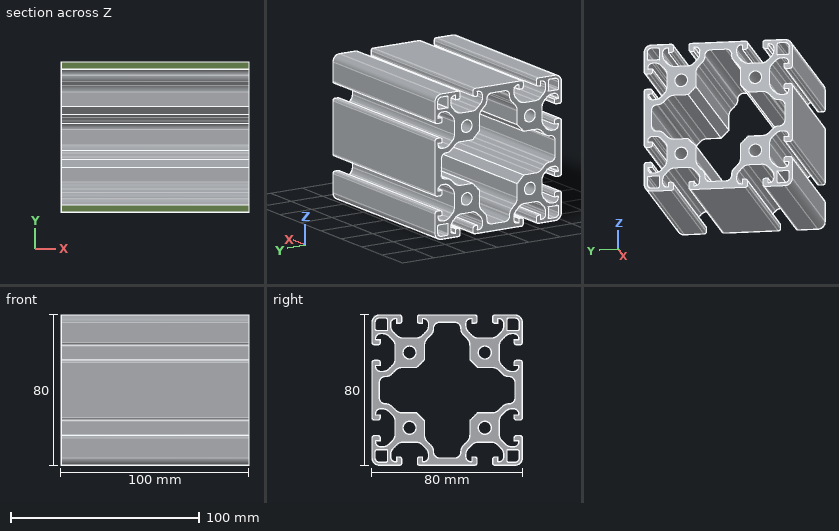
import cadquery as cq
import math

LENGTH = 100.0
SIZE = 80.0
CORNER_RADIUS = 4.0
HALF = SIZE / 2
SLOT_OFFSET = 20.0

SLOT_OPENING = 8.2
SLOT_WIDTH = 20.0
SLOT_DEPTH = 12.25
LIP_DEPTH = 4.5
LIP_WIDTH = 2.8
LIP_ROOF = 2.0
LIP_RADIUS = 1.3
SLOT_ROOF_RADIUS = 2.5
SLOT_WALL_RADIUS = 4.5
SLOT_FLOOR_RADIUS = 4.5
SLOT_FLOOR_HALF = 3.6

SKIN = 4.0
CAVITY_ARM_HALF = 7.2
CORE_EDGE = 12.0
CORE_CHAMFER = 4.2
CORE_CORNER_START = 26.0
CAVITY_ARM_RADIUS = 3.0
CAVITY_WALL_RADIUS = 4.5
CAVITY_CORE_RADIUS = 5.0

BORE_DIAMETER = 6.8
POCKET_WALL = 1.7
POCKET_SIZE = 6.5
POCKET_OUTER_RADIUS = CORNER_RADIUS - POCKET_WALL
POCKET_SIDE_RADIUS = 0.8

DIAGONAL = math.sqrt(0.5)
TANGENT_45 = math.tan(math.pi / 8)


def prism(sketch):
    """Extrude a closed outline along the whole profile."""
    return sketch.extrude(LENGTH)


def profile_plane():
    return cq.Workplane("YZ", origin=(-LENGTH / 2, 0, 0))


def quarter_turns(solid):
    """The solid together with its copies turned about the X axis in quarter turns."""
    turned = solid
    for angle in (90, 180, 270):
        turned = turned.union(solid.rotate((0, 0, 0), (1, 0, 0), angle))
    return turned


def turn_45(path, corner, before, after, radius):
    """Line up to a 45 degree corner and round it; before and after are unit directions of travel."""
    setback = radius * TANGENT_45
    start = (corner[0] - before[0] * setback, corner[1] - before[1] * setback)
    end = (corner[0] + after[0] * setback, corner[1] + after[1] * setback)
    return path.lineTo(*start).tangentArcPoint(end, relative=False)


def make_blank():
    return prism(profile_plane().rect(SIZE, SIZE)).edges("|X").fillet(CORNER_RADIUS)


def make_slot():
    """T-slot open towards +Z, centred on Y = SLOT_OFFSET."""
    half_opening = SLOT_OPENING / 2
    half_width = SLOT_WIDTH / 2
    lip_back = half_opening + LIP_WIDTH
    floor = HALF - SLOT_DEPTH
    roof = HALF - LIP_ROOF
    lip_tip = HALF - LIP_DEPTH
    floor_corner = SLOT_FLOOR_HALF + SLOT_FLOOR_RADIUS * TANGENT_45
    wall_corner = floor + half_width - floor_corner
    arc_offset = SLOT_ROOF_RADIUS * (1 - DIAGONAL)

    outline = profile_plane().moveTo(0, floor)
    outline = turn_45(outline, (floor_corner, floor), (1, 0), (DIAGONAL, DIAGONAL), SLOT_FLOOR_RADIUS)
    outline = turn_45(outline, (half_width, wall_corner), (DIAGONAL, DIAGONAL), (0, 1), SLOT_WALL_RADIUS)
    outline = (
        outline.lineTo(half_width, roof - SLOT_ROOF_RADIUS)
        .threePointArc(
            (half_width - arc_offset, roof - arc_offset),
            (half_width - SLOT_ROOF_RADIUS, roof),
        )
        .lineTo(lip_back, roof)
        .lineTo(lip_back, lip_tip)
        .lineTo(half_opening + LIP_RADIUS, lip_tip)
        .radiusArc((half_opening, lip_tip + LIP_RADIUS), LIP_RADIUS)
        .lineTo(half_opening, HALF - LIP_RADIUS)
        .radiusArc((half_opening + LIP_RADIUS, HALF), LIP_RADIUS)
        .lineTo(0, HALF)
        .close()
    )
    half_slot = prism(outline)
    slot = half_slot.union(half_slot.mirror("XZ"))
    return slot.translate((0, SLOT_OFFSET, 0))


def make_cavity_arm():
    """Half (Y > 0) of the cavity arm reaching towards +Z, down to the profile centre."""
    end = HALF - SKIN
    slope_corner = CORE_CORNER_START + CORE_EDGE - CAVITY_ARM_HALF
    core_near = CORE_EDGE + CORE_CHAMFER
    arc_offset = CAVITY_ARM_RADIUS * (1 - DIAGONAL)
    outline = (
        profile_plane().moveTo(0, 0)
        .lineTo(0, end)
        .lineTo(CAVITY_ARM_HALF - CAVITY_ARM_RADIUS, end)
        .threePointArc(
            (CAVITY_ARM_HALF - arc_offset, end - arc_offset),
            (CAVITY_ARM_HALF, end - CAVITY_ARM_RADIUS),
        )
    )
    outline = turn_45(
        outline, (CAVITY_ARM_HALF, slope_corner), (0, -1), (DIAGONAL, -DIAGONAL), CAVITY_WALL_RADIUS
    )
    outline = turn_45(
        outline, (CORE_EDGE, CORE_CORNER_START), (DIAGONAL, -DIAGONAL), (0, -1), CAVITY_CORE_RADIUS
    )
    chamfer_middle = (CORE_EDGE + core_near) / 2
    outline = outline.lineTo(CORE_EDGE, core_near).lineTo(chamfer_middle, chamfer_middle).close()
    return prism(outline)


def make_pocket():
    """Hollow in the +Y +Z corner, with its largest rounding towards the outer corner."""
    centre = HALF - POCKET_WALL - POCKET_SIZE / 2
    pocket = prism(profile_plane().center(centre, centre).rect(POCKET_SIZE, POCKET_SIZE))
    pocket = pocket.edges("|X and >(0, 1, 1)").fillet(POCKET_OUTER_RADIUS)
    return pocket.edges("|X and (>(0, 1, -1) or <(0, 1, -1))").fillet(POCKET_SIDE_RADIUS)


def make_bore():
    return prism(profile_plane().center(SLOT_OFFSET, SLOT_OFFSET).circle(BORE_DIAMETER / 2))


slot = make_slot()
cavity_arm = make_cavity_arm()

result = make_blank()
result = result.cut(quarter_turns(slot.union(slot.mirror("XZ"))))
result = result.cut(quarter_turns(cavity_arm.union(cavity_arm.mirror("XZ"))))
result = result.cut(quarter_turns(make_pocket().union(make_bore())))